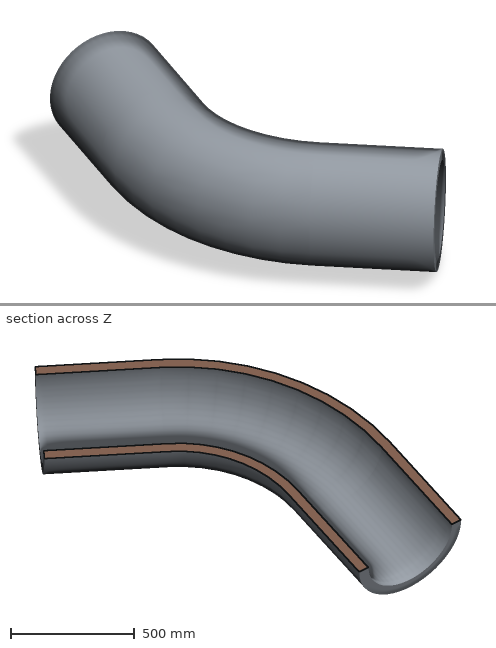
import cadquery as cq
import math

overall_length = 1657.0
outer_diameter = 500.0
inner_diameter = 409.0
straight_length = 505.0
bend_angle = 60.0

sine = math.sin(math.radians(bend_angle))
cosine = math.cos(math.radians(bend_angle))
straight_extent = straight_length * (1 + cosine)
end_face_overhang = outer_diameter / 2 * sine
bend_radius = (overall_length - straight_extent - end_face_overhang) / sine

bend_end = (straight_length + bend_radius * sine, bend_radius * (1 - cosine))
outlet_direction = (cosine, sine, 0)


def ring(plane):
    """Pipe cross-section on the given plane."""
    return cq.Workplane(plane).circle(outer_diameter / 2).circle(inner_diameter / 2)


inlet_plane = cq.Plane(origin=(0, 0, 0), xDir=(0, 1, 0), normal=(1, 0, 0))
bend_plane = cq.Plane(origin=(straight_length, 0, 0), xDir=(0, 1, 0), normal=(1, 0, 0))
outlet_plane = cq.Plane(origin=(*bend_end, 0), xDir=(0, 0, 1), normal=outlet_direction)

inlet = ring(inlet_plane).extrude(straight_length)
bend = ring(bend_plane).revolve(bend_angle, (bend_radius, 0), (bend_radius, 1))
outlet = ring(outlet_plane).extrude(straight_length)

result = inlet.union(bend).union(outlet)